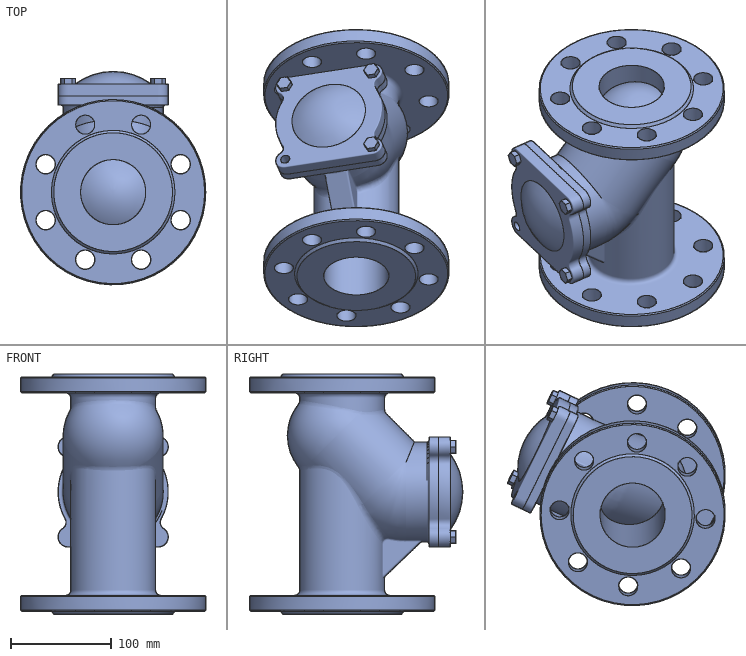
import cadquery as cq
import math

height = 240.0

pipe_diameter = 85.0
bore_diameter = 65.0
flange_diameter = 185.0
flange_thickness = 16.0
flange_edge_chamfer = 1.2
face_diameter = 123.4
face_height = 3.0
face_chamfer = 2.5
flange_hole_diameter = 19.0
flange_hole_circle = 146.0
flange_hole_count = 8
neck_fillet = 5.0

branch_diameter = 100.0
sphere_y = -4.8
cover_axis_z = 122.2
bend_start_y = 63.8
bend_radius = 30.0
bend_angle = 45.0
branch_fillet = 6.0

joint_y = 96.0
branch_flange_thickness = 9.0
cover_thickness = 12.0
bolt_spacing = 90.0
lug_radius = 10.0
lug_blend_radius = 7.2
joint_edge_fillet = 1.0
branch_flange_fillet = 2.2
dome_diameter = 75.8
overall_depth = 213.0

bolt_diameter = 8.0
clearance_diameter = 9.0
bolt_depth = 7.0
head_across_flats = 13.0
head_height = 5.5

rib_thickness = 24.0
rib_reach_y = 78.7
rib_foot_z = 37.5
rib_edge_fillet = 2.0
rib_join_fillet = 2.0
rib_embed = 4.8

tolerance = 0.05

branch_radius = branch_diameter / 2
pipe_radius = pipe_diameter / 2
turn = math.radians(bend_angle)
bend_centre_z = cover_axis_z + bend_radius
slope_start_y = bend_start_y - bend_radius * math.sin(turn)
slope_start_z = bend_centre_z - bend_radius * math.cos(turn)
slope_length = (slope_start_y - sphere_y) / math.cos(turn)
sphere_z = slope_start_z + slope_length * math.sin(turn)
flange_back_y = joint_y - branch_flange_thickness
cover_face_y = joint_y + cover_thickness
dome_height = overall_depth - flange_diameter / 2 - cover_face_y
barrel_bottom_z = cover_axis_z - branch_radius
bolt_offset = bolt_spacing / 2
plate_radius = bolt_offset + lug_radius


def along_y(start_y):
    """Sketch plane facing +Y on the cover axis; local x is -X and local y is Z."""
    return cq.Workplane(cq.Plane((0, start_y, cover_axis_z), (-1, 0, 0), (0, 1, 0)))


def pipe_with_flanges():
    flange_radius = flange_diameter / 2
    face_radius = face_diameter / 2
    flange_top = face_height + flange_thickness
    half = (
        cq.Workplane("XZ")
        .moveTo(0, 0)
        .lineTo(face_radius - face_chamfer, 0)
        .lineTo(face_radius, face_height)
        .lineTo(flange_radius - flange_edge_chamfer, face_height)
        .lineTo(flange_radius, face_height + flange_edge_chamfer)
        .lineTo(flange_radius, flange_top - flange_edge_chamfer)
        .lineTo(flange_radius - flange_edge_chamfer, flange_top)
        .lineTo(pipe_radius + neck_fillet, flange_top)
        .radiusArc((pipe_radius, flange_top + neck_fillet), neck_fillet)
        .lineTo(pipe_radius, height / 2)
        .lineTo(0, height / 2)
        .close()
        .revolve(360, (0, 0, 0), (0, 1, 0))
    )
    return half.union(half.mirror("XY", (0, 0, height / 2)))


def bend():
    """Outer part of the bend: its section reaches past the turning axis and is cut off there."""
    half_chord = math.sqrt(branch_radius**2 - bend_radius**2)
    return (
        along_y(bend_start_y)
        .moveTo(-half_chord, bend_radius)
        .threePointArc((0, -branch_radius), (half_chord, bend_radius))
        .close()
        .revolve(bend_angle, (-2.5, bend_radius, 0), (2.5, bend_radius, 0))
    )


def branch():
    sphere = cq.Workplane("XY").sphere(branch_radius).rotate((0, 0, 0), (0, 0, 1), 90)
    sphere = sphere.translate((0, sphere_y, sphere_z))
    slope_plane = cq.Plane(
        (0, sphere_y, sphere_z),
        (0, math.sin(turn), math.cos(turn)),
        (0, math.cos(turn), -math.sin(turn)),
    )
    slope = cq.Workplane(slope_plane).circle(branch_radius).extrude(slope_length)
    level = along_y(bend_start_y).circle(branch_radius).extrude(flange_back_y - bend_start_y)
    return sphere.union(slope).union(bend()).union(level)


def lies_on_pipe(edge):
    """True for an edge whose points all lie on the outer wall of the pipe."""
    points = [edge.positionAt(step / 4) for step in range(5)]
    return all(abs(math.hypot(p.x, p.y) - pipe_radius) < tolerance for p in points)


def pipe_and_branch():
    """Pipe and branch joined, with a fillet all round the curve where they meet."""
    solid = pipe_with_flanges().union(branch()).solids().val()
    meeting_edges = [
        edge for edge in solid.Edges() if edge.geomType() == "BSPLINE" and lies_on_pipe(edge)
    ]
    return cq.Workplane(solid.fillet(branch_fillet, meeting_edges))


def polar(centre, radius, angle):
    return (centre[0] + radius * math.cos(angle), centre[1] + radius * math.sin(angle))


def joint_plate(start_y, thickness):
    """Round plate with a lug at each corner; a straight edge joins the lugs above and below."""
    lug_distance = math.hypot(bolt_offset, bolt_offset)
    blend_distance = plate_radius + lug_blend_radius
    blend_to_lug = lug_radius + lug_blend_radius
    blend_angle = math.radians(45) - math.acos(
        (blend_distance**2 + lug_distance**2 - blend_to_lug**2) / (2 * blend_distance * lug_distance)
    )
    lug = (bolt_offset, bolt_offset)
    blend = polar((0, 0), blend_distance, blend_angle)
    lug_end_angle = math.atan2(blend[1] - lug[1], blend[0] - lug[0])
    lug_start = (bolt_offset, plate_radius)
    lug_middle = polar(lug, lug_radius, (math.radians(90) + lug_end_angle) / 2)
    lug_end = polar(lug, lug_radius, lug_end_angle)
    side_start = polar((0, 0), plate_radius, blend_angle)

    def below(point):
        return (point[0], -point[1])

    half = (
        along_y(start_y)
        .moveTo(0, plate_radius)
        .lineTo(*lug_start)
        .threePointArc(lug_middle, lug_end)
        .radiusArc(side_start, -lug_blend_radius)
        .threePointArc((plate_radius, 0), below(side_start))
        .radiusArc(below(lug_end), -lug_blend_radius)
        .threePointArc(below(lug_middle), below(lug_start))
        .lineTo(0, -plate_radius)
        .close()
        .extrude(thickness)
    )
    return half.union(half.mirror("YZ"))


def at_bolts(start_y):
    """Sketch plane with a point at each corner of the bolt square."""
    return along_y(start_y).rect(bolt_spacing, bolt_spacing, forConstruction=True).vertices()


def rib():
    """Triangular web between the level barrel and the pipe, sunk a little into both."""
    slope = (barrel_bottom_z - rib_foot_z) / (rib_reach_y - pipe_radius)
    inner_y = pipe_radius - rib_embed
    top_z = barrel_bottom_z + rib_embed * slope
    web = (
        cq.Workplane("YZ")
        .moveTo(inner_y, rib_foot_z - rib_embed * slope)
        .lineTo(rib_reach_y + rib_embed, top_z)
        .lineTo(inner_y, top_z)
        .close()
        .extrude(rib_thickness / 2, both=True)
    )
    return web.faces("<Z").edges("#X").fillet(rib_edge_fillet)


def is_rib_join(edge):
    """True for an edge where a flat side of the rib runs into the pipe or the branch."""
    start, middle, end = [edge.positionAt(step / 2) for step in range(3)]
    on_side = all(abs(abs(p.x) - rib_thickness / 2) < tolerance for p in (start, middle, end))
    straight = edge.geomType() == "LINE"
    sloping = straight and min(abs(start.y - end.y), abs(start.z - end.z)) > tolerance
    return on_side and not sloping


def ribbed_body():
    """Pipe, branch and rib, with a fillet along both sides of the rib."""
    solid = pipe_and_branch().union(rib()).solids().val()
    join_edges = [edge for edge in solid.Edges() if is_rib_join(edge)]
    return cq.Workplane(solid.fillet(rib_join_fillet, join_edges))


def flange_holes():
    """Cutters through both end flanges, clear of the branch between them."""
    holes = (
        cq.Workplane("XY")
        .polarArray(flange_hole_circle / 2, 180 / flange_hole_count, 360, flange_hole_count)
        .circle(flange_hole_diameter / 2)
        .extrude(face_height + flange_thickness)
    )
    return holes.union(holes.mirror("XY", (0, 0, height / 2)))


def pipe_bore():
    """Cutter for the bore, which stops at the solid branch."""
    return cq.Workplane("XY").circle(bore_diameter / 2).extrude(height).cut(branch())


def joint_flange():
    """Flange that carries the cover, with a fillet where it meets the level barrel."""
    plate = joint_plate(flange_back_y, branch_flange_thickness)
    plate = plate.faces("<Y").edges().fillet(joint_edge_fillet)
    collar = (
        cq.Workplane("XY", origin=(0, 0, cover_axis_z))
        .moveTo(branch_radius, flange_back_y)
        .lineTo(branch_radius + branch_flange_fillet, flange_back_y)
        .radiusArc((branch_radius, flange_back_y - branch_flange_fillet), -branch_flange_fillet)
        .close()
        .revolve(360, (0, 0, 0), (0, 1, 0))
    )
    return plate.union(collar)


def make_housing():
    housing = ribbed_body().union(joint_flange())
    bolt_holes = at_bolts(joint_y - bolt_depth).circle(bolt_diameter / 2).extrude(bolt_depth)
    return housing.cut(pipe_bore()).cut(flange_holes()).cut(bolt_holes)


def make_cover():
    plate = joint_plate(joint_y, cover_thickness)
    plate = plate.faces(">Y").edges().fillet(joint_edge_fillet)
    bolt_holes = at_bolts(joint_y).circle(clearance_diameter / 2).extrude(cover_thickness)
    dome_radius = ((dome_diameter / 2) ** 2 + dome_height**2) / (2 * dome_height)
    ball = cq.Workplane("XY").sphere(dome_radius)
    ball = ball.translate((0, cover_face_y + dome_height - dome_radius, cover_axis_z))
    dome = along_y(cover_face_y).circle(dome_diameter).extrude(dome_height).intersect(ball)
    return plate.cut(bolt_holes).union(dome)


def make_bolt(x, z):
    shank = along_y(joint_y - bolt_depth).circle(bolt_diameter / 2)
    shank = shank.extrude(bolt_depth + cover_thickness)
    across_corners = head_across_flats / math.cos(math.pi / 6)
    head = along_y(cover_face_y).polygon(6, across_corners).extrude(head_height)
    return shank.union(head).translate((x, 0, z))


housing = make_housing()
cover = make_cover()
bolt_places = [
    (-bolt_offset, bolt_offset),
    (bolt_offset, bolt_offset),
    (-bolt_offset, -bolt_offset),
]
bolts = [make_bolt(x, z) for x, z in bolt_places]
result = cq.Compound.makeCompound([housing.val(), cover.val(), *[bolt.val() for bolt in bolts]])